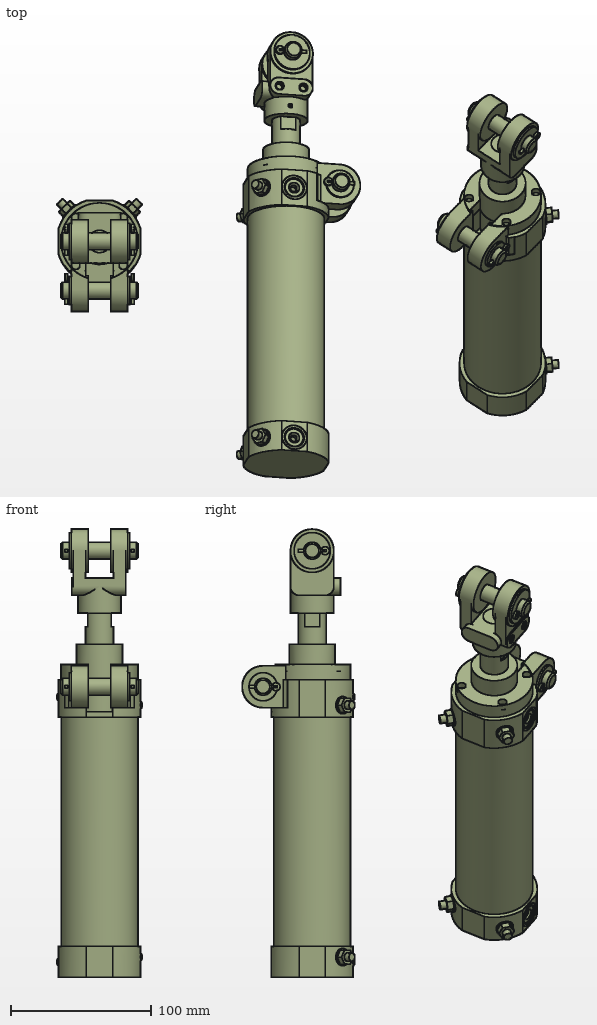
import cadquery as cq
import math


OVERALL_WIDTH = 61.0
OVERALL_DEPTH = 80.5

OVERALL_HEIGHT = 319.5
CAP_TOP = 22.0
HEAD_BOTTOM = 185.3
HEAD_SHOULDER = 212.0
COLLAR_TOP = 223.0
BOSS_TOP = 237.5
ROD_FLAT_BOTTOM = 250.0
HUB_BOTTOM = 259.5
BLOCK_BOTTOM = 272.2
FORK_FLOOR = 284.7

BARREL_DIA = 55.0
COVER_DIA = 61.5
COVER_ACROSS_FLATS = 58.5
BOSS_DIA = 33.0
COLLAR_SCREW_DIA = 6.0
COLLAR_SCREW_CIRCLE = 48.0
COLLAR_SCREW_DEPTH = 4.8
COLLAR_SCREW_COUNT = 4
COLLAR_SCREW_START_ANGLE = 45

CAP_PORT_Z = 10.2
HEAD_PORT_Z = 199.0
PORT_FACE_DIA = 18.0
PORT_FACE_DEPTH = 0.3
PORT_RING_DIA = 14.5
PORT_RING_FLOOR_DIA = 13.0
PORT_RING_DEPTH = 1.0
PORT_MOUTH_DIA = 7.7
PORT_BORE_DIA = 4.8
PORT_BORE_DEPTH = 6.5
PORT_CONE_SLOPE = 30

FITTING_ROOT = 27.0
FITTING_FLANGE_DIA = 12.5
FITTING_FLANGE_END = 31.0
FITTING_HEX_DIA = 11.5
FITTING_HEX_END = 35.5
FITTING_STEM_DIA = 6.0
FITTING_TIP = OVERALL_WIDTH / math.sqrt(2) - FITTING_STEM_DIA / 2
CAP_MINUS_X_FITTING_Z = 11.0
CAP_PLUS_X_FITTING_Z = 14.5
HEAD_MINUS_X_FITTING_Z = 199.7
HEAD_PLUS_X_FITTING_Z = 194.0

HINGE_GAP = 16.0
HINGE_LUG_THICKNESS = 12.0
HINGE_WIDTH = HINGE_GAP + 2 * HINGE_LUG_THICKNESS
LUG_DIA = 30.0
LUG_PIN_Y = OVERALL_WIDTH / 2 + LUG_DIA / 2 - OVERALL_DEPTH
LUG_PIN_Z = 207.0
LUG_BOTTOM = LUG_PIN_Z - LUG_DIA / 2
LUG_ROOT_Y = -17.5
LUG_BACK_Y = -20.8
LUG_STEP_Y = -24.3
BOSS_SLOT_WIDTH = 19.8

HEAD_SLOT_MOUTH_WIDTH = 18.5
HEAD_SLOT_FLOOR = 189.0
RELIEF_INNER_X = 22.0
RELIEF_OUTER_X = 25.0
RELIEF_OUTER_Y = -17.3

ROD_DIA = 20.0
ROD_ACROSS_FLATS = 17.0
ROD_THREAD_DIA = 16.0

CLEVIS_DIA = 31.0
CLEVIS_WIDTH = 37.7
CLEVIS_SLOT_WIDTH = 19.8
CLEVIS_PIN_Z = OVERALL_HEIGHT - CLEVIS_DIA / 2
PAD_HEIGHT = FORK_FLOOR - BLOCK_BOTTOM
PAD_RADIUS = PAD_HEIGHT / 2
PAD_Z = BLOCK_BOTTOM + PAD_RADIUS
SIDE_PAD_THICKNESS = 1.0
PAD_SCREW_SPACING = 17.3
PAD_SCREW_HEAD_DIA = 6.0
PAD_SCREW_HEAD_DEPTH = 1.0
PAD_SCREW_DIA = 4.8
PAD_SCREW_DEPTH = 3.8
SET_SCREW_DIA = 3.0
SET_SCREW_DEPTH = 3.2
SET_SCREW_Z = 265.5
REAR_PAD_LENGTH = 30.0
REAR_PAD_THICKNESS = 4.8

PIN_DIA = 12.0
PIN_LENGTH = 55.0
PIN_CHAMFER = 1.3
WASHER_THICKNESS = 1.5
CLEVIS_WASHER_DIA = 26.0
LUG_WASHER_DIA = 20.0
SPLIT_PIN_X = 23.5
SPLIT_PIN_DIA = 2.3
SPLIT_PIN_TAIL = 10.0
SPLIT_PIN_TOP = 12.0
SPLIT_PIN_EYE_DIA = 5.8
SPLIT_PIN_EYE_HOLE = 1.5
SPLIT_PIN_EYE_THICKNESS = 2.0


def z_cylinder(dia, bottom, top):
    return cq.Workplane("XY").workplane(offset=bottom).circle(dia / 2).extrude(top - bottom)


def x_cylinder(dia, x_start, x_end, y, z):
    return cq.Workplane("YZ", origin=(x_start, y, z)).circle(dia / 2).extrude(x_end - x_start)


def block(x_range, y_range, z_range):
    spans = [high - low for low, high in (x_range, y_range, z_range)]
    corner = (x_range[0], y_range[0], z_range[0])
    return cq.Workplane("XY", origin=corner).box(*spans, centered=False)


def cover(bottom, top):
    """Round cover with four flats, facing +X, -X, +Y and -Y."""
    square = cq.Workplane("XY").workplane(offset=bottom)
    square = square.rect(COVER_ACROSS_FLATS, COVER_ACROSS_FLATS).extrude(top - bottom)
    return z_cylinder(COVER_DIA, bottom, top).intersect(square)


def port(z):
    """Stepped cutter for a blind port in the -X flat, with a countersunk mouth and a conical bottom."""
    cone_depth = PORT_BORE_DIA / 2 * math.tan(math.radians(PORT_CONE_SLOPE))
    mouth_end = PORT_RING_DEPTH + (PORT_MOUTH_DIA - PORT_BORE_DIA) / 2
    profile = [
        (0, 0),
        (PORT_FACE_DIA / 2, 0),
        (PORT_FACE_DIA / 2, PORT_FACE_DEPTH),
        (PORT_RING_DIA / 2, PORT_FACE_DEPTH),
        (PORT_RING_FLOOR_DIA / 2, PORT_RING_DEPTH),
        (PORT_MOUTH_DIA / 2, PORT_RING_DEPTH),
        (PORT_BORE_DIA / 2, mouth_end),
        (PORT_BORE_DIA / 2, PORT_BORE_DEPTH),
        (0, PORT_BORE_DEPTH + cone_depth),
    ]
    profile_plane = cq.Plane(origin=(-COVER_ACROSS_FLATS / 2, 0, z), xDir=(0, 1, 0), normal=(0, 0, 1))
    points = [(radius, -depth) for radius, depth in profile]
    return cq.Workplane(profile_plane).polyline(points).close().revolve(360, (0, 0), (0, 1))


def fitting(side, z):
    """Valve fitting on a diagonal; side is -1 for the -X diagonal and +1 for the +X diagonal."""
    diagonal = cq.Plane(origin=(0, 0, z), xDir=(1, -side, 0), normal=(side, 1, 0))
    root = cq.Workplane(diagonal).workplane(offset=FITTING_ROOT)
    flange = root.circle(FITTING_FLANGE_DIA / 2).extrude(FITTING_FLANGE_END - FITTING_ROOT)
    hexagon = root.polygon(6, FITTING_HEX_DIA).extrude(FITTING_HEX_END - FITTING_ROOT)
    stem = root.circle(FITTING_STEM_DIA / 2).extrude(FITTING_TIP - FITTING_ROOT)
    return flange.union(hexagon).union(stem)


def make_cap():
    cap = cover(0, CAP_TOP)
    cap = cap.union(fitting(-1, CAP_MINUS_X_FITTING_Z)).union(fitting(1, CAP_PLUS_X_FITTING_Z))
    return cap.cut(port(CAP_PORT_Z))


def make_barrel():
    return z_cylinder(BARREL_DIA, CAP_TOP, HEAD_BOTTOM)


def boss_slot(mouth_width, bottom, top):
    """Slot on the -Y side that leaves the central boss standing and changes width at the mouth."""
    inner_half = BOSS_SLOT_WIDTH / 2
    mouth_half = mouth_width / 2
    inner = block((-inner_half, inner_half), (LUG_STEP_Y, 0), (bottom, top))
    mouth = block((-mouth_half, mouth_half), (-COVER_DIA, LUG_STEP_Y), (bottom, top))
    return inner.union(mouth).cut(z_cylinder(BOSS_DIA, bottom, top))


def lug_pocket():
    """Pocket for both lugs, with its sloped outer ends leaving clearance beside them."""
    right_end = [
        (RELIEF_INNER_X, LUG_BACK_Y),
        (RELIEF_OUTER_X, RELIEF_OUTER_Y),
        (RELIEF_OUTER_X, -COVER_DIA),
    ]
    left_end = [(-x, y) for x, y in reversed(right_end)]
    outline = cq.Workplane("XY").workplane(offset=LUG_BOTTOM).polyline(right_end + left_end).close()
    pocket = outline.extrude(HEAD_SHOULDER - LUG_BOTTOM)
    bridge_half = HEAD_SLOT_MOUTH_WIDTH / 2
    bridge = block((-bridge_half, bridge_half), (-COVER_DIA, 0), (LUG_BOTTOM, HEAD_SHOULDER))
    return pocket.cut(bridge)


def make_head():
    head = cover(HEAD_BOTTOM, HEAD_SHOULDER)
    slot = boss_slot(HEAD_SLOT_MOUTH_WIDTH, HEAD_SLOT_FLOOR, HEAD_SHOULDER)
    head = head.cut(slot).cut(lug_pocket())
    head = head.union(fitting(-1, HEAD_MINUS_X_FITTING_Z)).union(fitting(1, HEAD_PLUS_X_FITTING_Z))
    rod_bore = z_cylinder(ROD_DIA, HEAD_BOTTOM, HEAD_SHOULDER)
    return head.cut(port(HEAD_PORT_Z)).cut(rod_bore)


def round_ended_plate(x_start, x_end, back_y):
    """Lug plate from a flat back edge to a half-round -Y end about the lug pin."""
    radius = LUG_DIA / 2
    outline = (
        cq.Workplane("YZ", origin=(x_start, 0, LUG_PIN_Z))
        .moveTo(back_y, radius)
        .lineTo(LUG_PIN_Y, radius)
        .threePointArc((LUG_PIN_Y - radius, 0), (LUG_PIN_Y, -radius))
        .lineTo(back_y, -radius)
        .close()
    )
    return outline.extrude(x_end - x_start)


def lug(side):
    """One hinge lug of the bracket; side is -1 or +1 along X."""
    inner = HINGE_GAP / 2
    step = BOSS_SLOT_WIDTH / 2
    outer = HINGE_WIDTH / 2
    lug_top = LUG_PIN_Z + LUG_DIA / 2
    root = block((step, outer), (LUG_PIN_Y, LUG_ROOT_Y), (HEAD_SHOULDER, lug_top))
    plate = round_ended_plate(step, outer, LUG_BACK_Y)
    inner_plate = round_ended_plate(inner, step, LUG_STEP_Y)
    right_lug = plate.union(inner_plate).union(root)
    return right_lug if side > 0 else right_lug.mirror("YZ")


def make_bracket():
    """Mounting bracket: flange, rod guide boss and two hinge lugs."""
    bracket = z_cylinder(BARREL_DIA, HEAD_SHOULDER, COLLAR_TOP)
    bracket = bracket.cut(boss_slot(HINGE_GAP, HEAD_SHOULDER, COLLAR_TOP))
    bracket = bracket.union(z_cylinder(BOSS_DIA, HEAD_SHOULDER, BOSS_TOP))
    for side in (-1, 1):
        bracket = bracket.union(lug(side))
    screw_holes = (
        cq.Workplane("XY")
        .workplane(offset=COLLAR_TOP - COLLAR_SCREW_DEPTH)
        .polarArray(COLLAR_SCREW_CIRCLE / 2, COLLAR_SCREW_START_ANGLE, 360, COLLAR_SCREW_COUNT)
        .circle(COLLAR_SCREW_DIA / 2)
        .extrude(COLLAR_SCREW_DEPTH)
    )
    pin_hole = x_cylinder(PIN_DIA, -HINGE_WIDTH / 2, HINGE_WIDTH / 2, LUG_PIN_Y, LUG_PIN_Z)
    rod_bore = z_cylinder(ROD_DIA, HEAD_SHOULDER, BOSS_TOP)
    return bracket.cut(screw_holes).cut(pin_hole).cut(rod_bore)


def make_rod():
    rod = z_cylinder(ROD_DIA, HEAD_BOTTOM, ROD_FLAT_BOTTOM)
    half_flats = ROD_ACROSS_FLATS / 2
    flats = block((-half_flats, half_flats), (-ROD_DIA, ROD_DIA), (ROD_FLAT_BOTTOM, HUB_BOTTOM))
    rod = rod.union(z_cylinder(ROD_DIA, ROD_FLAT_BOTTOM, HUB_BOTTOM).intersect(flats))
    return rod.union(z_cylinder(ROD_THREAD_DIA, HUB_BOTTOM, FORK_FLOOR))


def side_pad():
    """Round-ended pad on the -X cheek of the clevis."""
    face = cq.Workplane("YZ", origin=(-CLEVIS_WIDTH / 2, 0, PAD_Z))
    return face.slot2D(CLEVIS_DIA, PAD_HEIGHT).extrude(-SIDE_PAD_THICKNESS)


def rear_pad():
    """Round-ended pad on the +Y side of the clevis, level with the fork floor."""
    face = cq.Workplane("XZ", origin=(0, 0, PAD_Z))
    return face.slot2D(REAR_PAD_LENGTH, PAD_HEIGHT).extrude(-CLEVIS_DIA / 2 - REAR_PAD_THICKNESS)


def pad_screw_holes():
    """Two counterbored blind holes in the side pad."""
    face = cq.Workplane("YZ", origin=(-CLEVIS_WIDTH / 2 - SIDE_PAD_THICKNESS, 0, PAD_Z))
    centres = [(-PAD_SCREW_SPACING / 2, 0), (PAD_SCREW_SPACING / 2, 0)]
    heads = face.pushPoints(centres).circle(PAD_SCREW_HEAD_DIA / 2).extrude(PAD_SCREW_HEAD_DEPTH)
    shanks = face.pushPoints(centres).circle(PAD_SCREW_DIA / 2).extrude(PAD_SCREW_DEPTH)
    return heads.union(shanks)


def make_clevis():
    half_width = CLEVIS_WIDTH / 2
    half_depth = CLEVIS_DIA / 2
    body = block((-half_width, half_width), (-half_depth, half_depth), (BLOCK_BOTTOM, CLEVIS_PIN_Z))
    body = body.faces("<Z").edges("|X").fillet(PAD_RADIUS)
    body = body.union(x_cylinder(CLEVIS_DIA, -half_width, half_width, 0, CLEVIS_PIN_Z))
    body = body.union(z_cylinder(CLEVIS_DIA, HUB_BOTTOM, PAD_Z))
    fork_half = CLEVIS_SLOT_WIDTH / 2
    fork = block((-fork_half, fork_half), (-half_depth, half_depth), (FORK_FLOOR, OVERALL_HEIGHT))
    body = body.cut(fork)
    for inner, outer in ((-HINGE_WIDTH / 2, -HINGE_GAP / 2), (HINGE_GAP / 2, HINGE_WIDTH / 2)):
        body = body.union(x_cylinder(CLEVIS_DIA, inner, outer, 0, CLEVIS_PIN_Z))
    body = body.union(side_pad()).union(rear_pad()).cut(pad_screw_holes())
    set_screw = x_cylinder(SET_SCREW_DIA, -half_depth, -half_depth + SET_SCREW_DEPTH, 0, SET_SCREW_Z)
    pin_hole = x_cylinder(PIN_DIA, -HINGE_WIDTH / 2, HINGE_WIDTH / 2, 0, CLEVIS_PIN_Z)
    thread_hole = z_cylinder(ROD_THREAD_DIA, HUB_BOTTOM, FORK_FLOOR)
    return body.cut(set_screw).cut(pin_hole).cut(thread_hole)


def split_pin(x):
    """Split pin along Y through a hinge pin at the origin, with its eye on the +Y side."""
    eye_y = SPLIT_PIN_TOP - SPLIT_PIN_EYE_DIA / 2
    shank_top = eye_y - (SPLIT_PIN_EYE_DIA + SPLIT_PIN_EYE_HOLE) / 4
    shank = cq.Workplane("XZ", origin=(x, shank_top, 0))
    shank = shank.circle(SPLIT_PIN_DIA / 2).extrude(shank_top + SPLIT_PIN_TAIL)
    eye = cq.Workplane("YZ", origin=(x - SPLIT_PIN_EYE_THICKNESS / 2, eye_y, 0))
    eye = eye.circle(SPLIT_PIN_EYE_DIA / 2).circle(SPLIT_PIN_EYE_HOLE / 2)
    eye = eye.extrude(SPLIT_PIN_EYE_THICKNESS)
    return shank.union(eye)


def make_hinge_pin(y, z, washer_dia):
    """Hinge pin with a washer and a split pin at each end."""
    pin = x_cylinder(PIN_DIA, -PIN_LENGTH / 2, PIN_LENGTH / 2, 0, 0)
    pin = pin.faces("<X or >X").chamfer(PIN_CHAMFER)
    washer_x = HINGE_WIDTH / 2
    for side in (-1, 1):
        washer = x_cylinder(washer_dia, side * washer_x, side * (washer_x + WASHER_THICKNESS), 0, 0)
        pin = pin.union(washer).union(split_pin(side * SPLIT_PIN_X))
    return pin.translate((0, y, z))


cap = make_cap()
barrel = make_barrel()
head = make_head()
bracket = make_bracket()
rod = make_rod()
clevis = make_clevis()
hinge_pins = [
    make_hinge_pin(y, z, washer_dia)
    for y, z, washer_dia in (
        (0, CLEVIS_PIN_Z, CLEVIS_WASHER_DIA),
        (LUG_PIN_Y, LUG_PIN_Z, LUG_WASHER_DIA),
    )
]

result = cq.Compound.makeCompound([
    cap.val(),
    barrel.val(),
    head.val(),
    bracket.val(),
    rod.val(),
    clevis.val(),
    *[pin.val() for pin in hinge_pins],
])